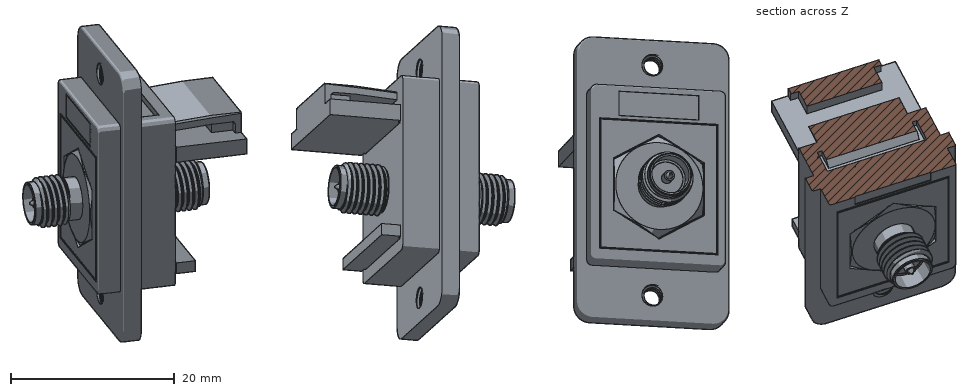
import cadquery as cq
import math


thread_overlap = 0.05

plate_width = 19.0
plate_height = 35.5
plate_thickness = 2.3
plate_corner_radius = 2.0
plate_edge_fillet = 0.3

mount_offset = 14.5
mount_minor_radius = 2.27 / 2
mount_pitch = 0.65
mount_thread_depth = 0.32
mount_thread_width = 0.57
mount_thread_tip_width = 0.1
mount_thread_start = 180

housing_width = 16.8
housing_height = 22.15
housing_front = -2.85
housing_rear = 7.0
housing_corner_radius = 0.67
housing_edge_fillet = 0.3

label_width = 10.0
label_height = 3.05
label_center_z = 8.77
label_depth = 0.1

insert_width = 14.8
insert_top = 6.8
insert_bottom = -9.6
insert_gap = 0.15
insert_gap_depth = 0.1

connector_z = -1.42
nut_across_flats = 11.15
nut_pocket_across_flats = 11.35
nut_pocket_depth = 0.55
nut_front = housing_front - 0.2
nut_face_diameter = 10.95
nut_chamfer_angle = 30

connector_front = -9.12
connector_rear = 13.2
barrel_radius = 5.3 / 2
barrel_end_chamfer = 0.1
thread_radius = 6.25 / 2
thread_pitch = 0.7
thread_root_width = 0.65
thread_crest_width = 0.1
thread_end_setback = 0.85
front_thread_length = 3.7
thread_end_chamfer = 0.45
thread_start_angle = 180
socket_radius = 4.65 / 2
socket_depth = 2.05
socket_recess_radius = 4.1 / 2
socket_recess_depth = 0.1
pin_radius = 1.28 / 2
pin_shoulder_setback = 0.65
pin_cone_radius = 0.9 / 2
pin_tip_setback = 0.1
pin_tip_radius = 0.1

bar_width = 16.35
neck_width = 14.6
neck_length = 0.2
upper_bar_rear = 16.2
upper_bar_bottom = 5.25
upper_bar_top = 7.25
lower_bar_rear = 9.62
lower_bar_bottom = -9.45
lower_bar_top = -8.02

latch_width = 11.95
latch_top = 9.87
latch_bend = 12.3
latch_front_top = 9.55
latch_rear_wall = 0.78
latch_arch_top = 8.77
latch_arch_front_top = 8.5
latch_arch_chamfer = 0.32
latch_rib_front = 12.67
latch_rib_width = 9.95
latch_edge_rear_drop = 0.1
latch_edge_front_drop = 0.2
latch_edge_bend_drop = 0.25
latch_edge_rear_width = 0.15
latch_edge_bend_width = 0.2
latch_edge_front_width = 0.25

window_width = 13.05
window_rear = 5.45
window_floor = 7.8
ramp_front = 3.25
ramp_top = 10.3


def box(width, y_range, z_range):
    """Box centred on X = 0."""
    y0, y1 = y_range
    z0, z1 = z_range
    return cq.Workplane("XY").box(width, y1 - y0, z1 - z0).translate((0, (y0 + y1) / 2, (z0 + z1) / 2))


def side_prism(points, width):
    """Prism across X with a (Y, Z) outline, centred on X = 0."""
    return cq.Workplane("YZ").polyline(points).close().extrude(width / 2, both=True)


def rounded_plate(width, height, y_range, corner_radius, front_fillet):
    """Plate with rounded corners and a filleted front rim."""
    plate = box(width, y_range, (-height / 2, height / 2))
    return plate.edges("|Y").fillet(corner_radius).faces("<Y").edges().fillet(front_fillet)


def facing_rear(part, y, z):
    """Part built along +Z, turned to point along +Y from the given place."""
    return part.rotate((0, 0, 0), (1, 0, 0), -90).translate((0, y, z))


def facing_front(part, y, z):
    """Part built along +Z, turned to point along -Y from the given place."""
    return part.rotate((0, 0, 0), (1, 0, 0), 90).translate((0, y, z))


def helical_ridge(root_radius, crest_radius, root_width, crest_width, pitch, length):
    """Right-hand thread ridge around Z, starting at Z = 0 on the +X side."""
    path = cq.Wire.makeHelix(pitch, length, root_radius)
    profile = [
        (root_radius, -root_width / 2),
        (crest_radius, -crest_width / 2),
        (crest_radius, crest_width / 2),
        (root_radius, root_width / 2),
    ]
    return cq.Workplane("XZ").polyline(profile).close().sweep(cq.Workplane(path), isFrenet=True)


def tapped_hole():
    """Cutter along +Z through the plate thickness, with its thread groove."""
    drill = cq.Workplane("XY").circle(mount_minor_radius).extrude(plate_thickness)
    groove = helical_ridge(
        mount_minor_radius - thread_overlap, mount_minor_radius + mount_thread_depth,
        mount_thread_width, mount_thread_tip_width, mount_pitch, plate_thickness + 2 * mount_pitch,
    ).rotate((0, 0, 0), (0, 0, 1), mount_thread_start).translate((0, 0, -mount_pitch))
    slab = cq.Workplane("XY").circle(2 * mount_minor_radius).extrude(plate_thickness)
    return drill.union(groove.intersect(slab))


def connector_end(length, thread_length):
    """Threaded connector end along +Z from Z = 0, with a socket and a pin in its tip."""
    barrel = cq.Workplane("XY").circle(barrel_radius).extrude(length)
    barrel = barrel.faces(">Z").edges().chamfer(barrel_end_chamfer)

    thread_start = length - thread_end_setback - thread_length
    ridge = helical_ridge(
        barrel_radius - thread_overlap, thread_radius, thread_root_width, thread_crest_width,
        thread_pitch, thread_length + 2 * thread_pitch,
    ).rotate((0, 0, 0), (0, 0, 1), thread_start_angle).translate((0, 0, thread_start - thread_pitch))
    sleeve_radius = thread_radius + thread_overlap
    sleeve = cq.Workplane("XY").workplane(offset=thread_start).circle(sleeve_radius).extrude(thread_length)
    sleeve = sleeve.edges().chamfer(thread_end_chamfer)
    barrel = barrel.union(ridge.intersect(sleeve))

    socket_floor = length - socket_depth
    recess_floor = socket_floor - socket_recess_depth
    pin_shoulder = length - pin_shoulder_setback
    pin_tip = length - pin_tip_setback
    cavity_profile = [
        (0, pin_tip),
        (pin_tip_radius, pin_tip),
        (pin_cone_radius, pin_shoulder),
        (pin_radius, pin_shoulder),
        (pin_radius, recess_floor),
        (socket_recess_radius, recess_floor),
        (socket_recess_radius, socket_floor),
        (socket_radius, socket_floor),
        (socket_radius, length),
        (0, length),
    ]
    cavity = cq.Workplane("XZ").polyline(cavity_profile).close().revolve(360, (0, 0), (0, 1))
    return barrel.cut(cavity)


def hexagon(across_flats, y_range):
    """Hexagonal prism on the connector axis with corners pointing up and down."""
    y0, y1 = y_range
    half_corner_angle = 30
    across_corners = across_flats / math.cos(math.radians(half_corner_angle))
    prism = cq.Workplane("XY").polygon(6, across_corners).extrude(y1 - y0)
    corner_up = prism.rotate((0, 0, 0), (0, 0, 1), half_corner_angle)
    return facing_rear(corner_up, y0, connector_z)


def latch_section(y, top, edge_width, edge_drop):
    """Section of the latch envelope across Y, with both upper edges bevelled."""
    half = latch_width / 2
    points = [
        (-half, upper_bar_top),
        (-half, top - edge_drop),
        (-half + edge_width, top),
        (half - edge_width, top),
        (half, top - edge_drop),
        (half, upper_bar_top),
    ]
    return cq.Wire.makePolygon([cq.Vector(x, y, z) for x, z in points], close=True)


def bevelled_envelope():
    """Latch envelope whose edge bevels widen from the rear end towards the housing."""
    sections = [
        latch_section(housing_rear, latch_front_top, latch_edge_front_width, latch_edge_front_drop),
        latch_section(latch_bend, latch_top, latch_edge_bend_width, latch_edge_bend_drop),
        latch_section(upper_bar_rear, latch_top, latch_edge_rear_width, latch_edge_rear_drop),
    ]
    return cq.Workplane(cq.Solid.makeLoft(sections, True))


body = rounded_plate(plate_width, plate_height, (0, plate_thickness), plate_corner_radius, plate_edge_fillet)
housing_y = (housing_front, housing_rear)
body = body.union(
    rounded_plate(housing_width, housing_height, housing_y, housing_corner_radius, housing_edge_fillet)
)

for z in (-mount_offset, mount_offset):
    body = body.cut(facing_rear(tapped_hole(), 0, z))

label_z = (label_center_z - label_height / 2, label_center_z + label_height / 2)
body = body.cut(box(label_width, (housing_front, housing_front + label_depth), label_z))
gap_y = (housing_front, housing_front + insert_gap_depth)
insert_z = (insert_bottom + insert_gap, insert_top - insert_gap)
insert_face = box(insert_width - 2 * insert_gap, gap_y, insert_z)
body = body.cut(box(insert_width, gap_y, (insert_bottom, insert_top)).cut(insert_face))

nut_seat = housing_front + nut_pocket_depth
nut = hexagon(nut_across_flats, (nut_front, nut_seat))
cone_depth = nut_seat - nut_front
cone_spread = cone_depth / math.tan(math.radians(nut_chamfer_angle))
cone = (
    cq.Workplane("XY")
    .moveTo(0, nut_front)
    .lineTo(nut_face_diameter / 2, nut_front)
    .lineTo(nut_face_diameter / 2 + cone_spread, nut_seat)
    .lineTo(0, nut_seat)
    .close()
    .revolve(360, (0, 0), (0, 1))
    .translate((0, 0, connector_z))
)
body = body.cut(hexagon(nut_pocket_across_flats, (housing_front, nut_seat))).union(nut.intersect(cone))

body = body.cut(box(window_width, (plate_thickness, window_rear), (window_floor, housing_height)))
ramp_outline = [(ramp_front, window_floor), (window_rear, window_floor), (window_rear, ramp_top)]
ramp = side_prism(ramp_outline, latch_width)
body = body.union(ramp)

neck_rear = housing_rear + neck_length
for rear, bottom, top in (
    (upper_bar_rear, upper_bar_bottom, upper_bar_top),
    (lower_bar_rear, lower_bar_bottom, lower_bar_top),
):
    body = body.union(box(neck_width, (housing_rear, neck_rear), (bottom, top)))
    body = body.union(box(bar_width, (neck_rear, rear), (bottom, top)))

arch_rear = upper_bar_rear - latch_rear_wall
latch = side_prism(
    [
        (housing_rear, latch_front_top),
        (latch_bend, latch_top),
        (upper_bar_rear, latch_top),
        (upper_bar_rear, upper_bar_top),
        (arch_rear, upper_bar_top),
        (arch_rear, latch_arch_top - latch_arch_chamfer),
        (arch_rear - latch_arch_chamfer, latch_arch_top),
        (latch_bend, latch_arch_top),
        (housing_rear, latch_arch_front_top),
    ],
    latch_width,
)
latch = latch.intersect(bevelled_envelope())
rib = box(latch_rib_width, (latch_rib_front, arch_rear), (upper_bar_top, latch_arch_top))
body = body.union(latch).union(rib)

front_end = connector_end(nut_seat - connector_front, front_thread_length)
rear_length = connector_rear - housing_rear
rear_end = connector_end(rear_length, rear_length - thread_end_setback)

body = body.union(facing_front(front_end, nut_seat, connector_z))
result = body.union(facing_rear(rear_end, housing_rear, connector_z))